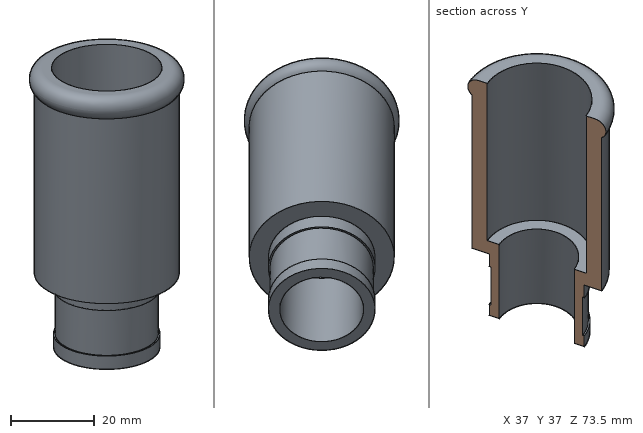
import cadquery as cq

height = 73.5
lower_band_top = 3.5
upper_band_bottom = 15.5
shoulder_z = 19.5

band_diameter = 25.4
neck_diameter = 24.6
body_diameter = 34.6
bead_diameter = 37.0

socket_diameter = 26.3
bore_diameter = 20.0

body_wall = (body_diameter - socket_diameter) / 2
socket_floor = shoulder_z + body_wall

bead_radius = 3.0
bead_center_r = bead_diameter / 2 - bead_radius
bead_center_z = height - bead_radius


def cylinder(diameter, bottom, top):
    """Solid cylinder on the Z axis between two levels."""
    return cq.Workplane("XY").workplane(offset=bottom).circle(diameter / 2).extrude(top - bottom)


def rim_bead():
    """Rounded rim: a half-round section, level at the top, whose lower quarter sinks into the body."""
    section = (
        cq.Workplane("XZ")
        .moveTo(0, bead_center_z - bead_radius)
        .lineTo(bead_center_r, bead_center_z - bead_radius)
        .radiusArc((bead_center_r + bead_radius, bead_center_z), -bead_radius)
        .radiusArc((bead_center_r, height), -bead_radius)
        .lineTo(0, height)
        .close()
    )
    return section.revolve(360, (0, 0, 0), (0, 1, 0))


def spigot():
    """Lower tube: a shallow neck between two slightly wider bands."""
    neck = cylinder(neck_diameter, 0, shoulder_z)
    lower_band = cylinder(band_diameter, 0, lower_band_top)
    upper_band = cylinder(band_diameter, upper_band_bottom, shoulder_z)
    return neck.union(lower_band).union(upper_band)


body = cylinder(body_diameter, shoulder_z, bead_center_z)
outside = body.union(rim_bead()).union(spigot())

socket = cylinder(socket_diameter, socket_floor, height)
bore = cylinder(bore_diameter, 0, height)

result = outside.cut(socket).cut(bore)